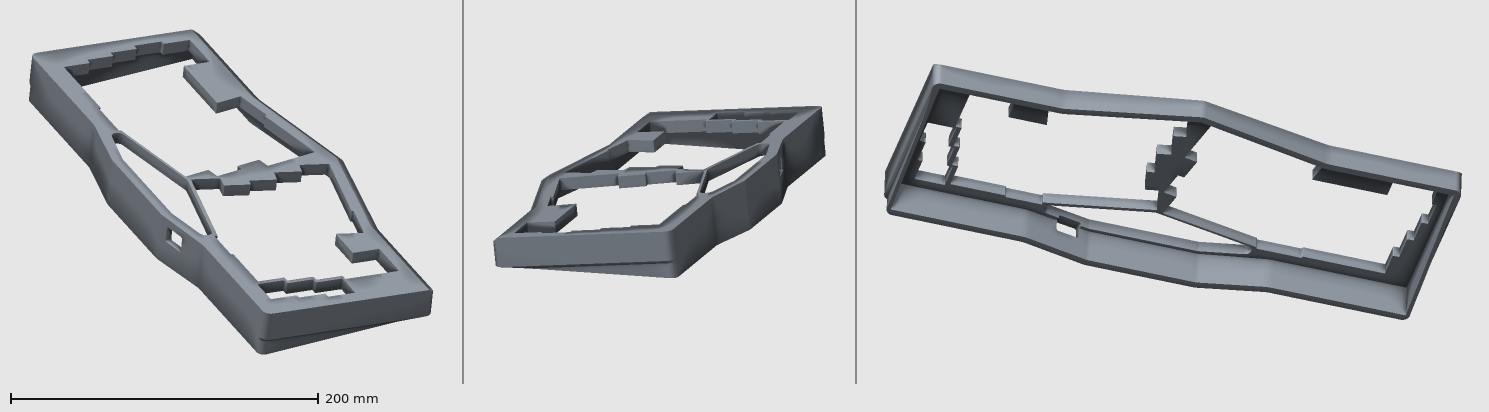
import cadquery as cq
import math


case_width = 358.42
overall_depth = 151.96
rear_height = 32.79
tilt_angle = 6.0
half_angle = 12.0
tilt = math.radians(tilt_angle)
half_slope = math.tan(math.radians(half_angle))
side_x = case_width / 2
mid_x = 1.9
wall_depth = 45.0

bevel_depth = 5.0
bevel_height = 3.0
apex_radius = 7.6
apex_rounding = 0.15

rear_y = (rear_height * math.tan(tilt) - overall_depth / 2) / math.cos(tilt)
rear_side_y = rear_y + 8.9
rear_flat_half = 37.4
rear_left_bend_x = -81.6
rear_right_bend_x = 83.8

front_apex_y = (overall_depth / 2 + bevel_height * math.sin(tilt)) / math.cos(tilt) + apex_rounding
front_left_y = 58.4
front_right_y = 59.3
front_left_bend_x = -87.5
front_right_bend_x = 91.8

corner_radius = 5.0
rear_convex_radius = 15.0
concave_radius = 20.0
rear_left_radius = 25.0

bezel_thickness = 8.0
wall_thickness = 4.7
body_depth = 19.6
foot_inset = 2.0
end_length = 39.0

pitch = 19.05
clearance = 0.45
row_base = -49.45
left_base = -33.9
right_base = -32.15
stagger = 4.3
notch = 2.0
left_start_x = -157.0
right_start_x = 137.6
left_top_x = -166.7
left_shelf_x = -136.6
right_shelf_x = 120.4
left_notch_x = -101.0
right_notch_x = 100.0
opening_radius = 0.6

lens_x = 2.3
lens_flat_y = -65.6
lens_flat_half = 37.2
lens_apex_y = -36.4
lens_tip_radius = 4.5

slot_strip = 3.2
slot_widths = (20.5, 19.4, 19.4)

port_width = 16.5
port_height = 11.0
port_radius = 1.6
port_x = 54.2
port_drop = 11.0


def below(base, row):
    """Opening edge just below the grid line of a key row."""
    return base + row * pitch - clearance


def above(base, row):
    """Opening edge just above the grid line of a key row."""
    return base + row * pitch + clearance


def prism(points, top, depth):
    return cq.Workplane("XY").workplane(offset=top).polyline(points).close().extrude(-depth)


def block(corner, size):
    return cq.Workplane("XY").box(*size, centered=False).translate(corner)


def turned(shape, angle):
    return shape.rotate((0, 0, 0), (0, 0, 1), angle)


def rounded(solid, x, y, radius):
    """Round the upright edge of a prism that stands at (x, y)."""
    reach = 0.5
    tall = 10 * wall_depth
    picker = cq.selectors.BoxSelector((x - reach, y - reach, -tall), (x + reach, y + reach, tall))
    return solid.edges("|Z").edges(picker).fillet(radius)


def front_line(half_width):
    """Front outline from right to left."""
    return [
        (half_width, front_right_y),
        (front_right_bend_x, front_right_y),
        (mid_x, front_apex_y),
        (front_left_bend_x, front_left_y),
        (-half_width, front_left_y),
    ]


def round_front(solid):
    solid = rounded(solid, front_right_bend_x, front_right_y, concave_radius)
    solid = rounded(solid, mid_x, front_apex_y, apex_radius)
    return rounded(solid, front_left_bend_x, front_left_y, concave_radius)


def plan_prism():
    """Upright prism of the case outline with every bend and corner rounded."""
    rear_line = [
        (-side_x, rear_side_y),
        (rear_left_bend_x, rear_side_y),
        (mid_x - rear_flat_half, rear_y),
        (mid_x + rear_flat_half, rear_y),
        (rear_right_bend_x, rear_side_y),
        (side_x, rear_side_y),
    ]
    solid = round_front(prism(front_line(side_x) + rear_line, 0, wall_depth))
    solid = rounded(solid, rear_left_bend_x, rear_side_y, rear_left_radius)
    solid = rounded(solid, rear_right_bend_x, rear_side_y, concave_radius)
    for side, front_y in ((-1, front_left_y), (1, front_right_y)):
        solid = rounded(solid, mid_x + side * rear_flat_half, rear_y, rear_convex_radius)
        solid = rounded(solid, side * side_x, rear_side_y, corner_radius)
        solid = rounded(solid, side * side_x, front_y, corner_radius)
    return solid


def front_bevel_envelope():
    """Oversize solid whose only effect on the case is the bevel along the front top edge."""
    margin = 60.0
    back = [(-side_x - margin, rear_y - margin), (side_x + margin, rear_y - margin)]
    lower = round_front(prism(front_line(side_x + margin) + back, -bevel_height, wall_depth))
    taper = math.degrees(math.atan2(bevel_depth, bevel_height))
    return lower.faces(">Z").wires().toPending().workplane().extrude(bevel_height, taper=taper)


def end_undercut(side, front_y):
    """Material to remove low down at one end, leaving a bevel and an inset foot."""
    margin = 10.0
    left_x = side_x - end_length if side > 0 else -side_x
    depth = front_y - rear_side_y
    bottom = -body_depth - wall_depth
    end = block((left_x, rear_side_y, bottom), (end_length, depth, wall_depth))
    for y in (rear_side_y, front_y):
        end = rounded(end, side * side_x, y, corner_radius)
    inward = cq.Vector(-side * foot_inset, 0, -foot_inset)
    bevel = cq.Workplane(cq.Solid.extrudeLinear(end.faces(">Z").val(), inward))
    foot = end.translate(inward)
    envelope = block(
        (left_x + side * margin, rear_side_y - margin, bottom),
        (end_length, depth + 2 * margin, wall_depth),
    )
    return envelope.cut(bevel).cut(foot)


def outer_body(plan):
    body = plan.intersect(front_bevel_envelope())
    body = body.cut(end_undercut(-1, front_left_y))
    return body.cut(end_undercut(1, front_right_y))


def cavity(plan):
    """Space inside the walls, from the underside of the bezel down."""
    outline = plan.faces(">Z").wires().val()
    inner = outline.offset2D(-wall_thickness)[0]
    space = cq.Solid.extrudeLinear(inner, [], cq.Vector(0, 0, -wall_depth))
    return cq.Workplane(space).translate((0, 0, -bezel_thickness))


def outer_steps(base_x, step):
    """Staircase along the outer ends of the lowest row and the three staggered rows above."""
    points = [(base_x, below(row_base, 0))]
    for row in (1, 2, 3):
        points.append((base_x + (row - 1) * step, below(row_base, row)))
        points.append((base_x + row * step, below(row_base, row)))
    return points


def key_opening(straight, angled, angle):
    """Opening for one half: straight outer columns joined to the turned inner columns."""
    straight_part = prism(straight, 0, bezel_thickness)
    angled_part = turned(prism(angled, 0, bezel_thickness), angle)
    return straight_part.union(angled_part).edges("|Z").fillet(opening_radius)


def left_opening():
    notch_y = row_base - notch
    straight = [(-70.0, notch_y), (left_notch_x, notch_y), (left_notch_x, below(row_base, 0))]
    straight += outer_steps(left_start_x, -stagger)
    straight += [
        (left_start_x - 3 * stagger, above(row_base, 4)),
        (left_top_x, above(row_base, 4)),
        (left_top_x, above(row_base, 5)),
        (left_shelf_x, above(row_base, 5)),
        (left_shelf_x, above(row_base, 4)),
        (-80.0, above(row_base, 4)),
    ]
    angled = [
        (-78.0, 44.0),
        (-77.8, 63.6),
        (-49.5, 63.6),
        (-49.5, 61.7),
        (4.5, 61.7),
        (4.5, below(left_base, 3)),
        (-4.8, below(left_base, 3)),
        (-4.8, above(left_base, 2)),
        (-0.3, above(left_base, 2)),
        (-0.3, below(left_base, 1)),
        (-9.8, below(left_base, 1)),
        (-9.8, below(left_base, 0)),
        (-83.6, below(left_base, 0)),
    ]
    return key_opening(straight, angled, half_angle)


def right_opening():
    notch_y = row_base - notch
    straight = [(75.0, notch_y), (right_notch_x, notch_y), (right_notch_x, below(row_base, 0))]
    straight += outer_steps(right_start_x, stagger)
    straight += [
        (right_start_x + 3 * stagger, above(row_base, 5)),
        (right_shelf_x, above(row_base, 5)),
        (right_shelf_x, above(row_base, 4)),
        (80.0, above(row_base, 4)),
    ]
    angled = [
        (86.4, 44.0),
        (86.4, 65.2),
        (57.5, 65.2),
        (57.5, 63.8),
        (-4.9, 63.8),
        (-4.9, below(right_base, 4)),
        (3.7, below(right_base, 4)),
        (3.7, below(right_base, 3)),
        (13.2, below(right_base, 3)),
        (13.2, below(right_base, 2)),
        (18.4, below(right_base, 2)),
        (18.4, above(right_base, 1)),
        (9.0, above(right_base, 1)),
        (9.0, below(right_base, 0)),
        (84.0, below(right_base, 0)),
    ]
    return key_opening(straight, angled, -half_angle)


def lens_opening():
    """Flat-bottomed lens with rounded tips, between the openings and the rear wall."""
    reach = (lens_apex_y - lens_flat_y + lens_flat_half * half_slope) / (2 * half_slope)
    tip_y = lens_apex_y - reach * half_slope
    points = [
        (lens_x - reach, tip_y),
        (lens_x - lens_flat_half, lens_flat_y),
        (lens_x + lens_flat_half, lens_flat_y),
        (lens_x + reach, tip_y),
        (lens_x, lens_apex_y),
    ]
    lens = prism(points, 0, bezel_thickness)
    for side in (-1, 1):
        lens = rounded(lens, lens_x + side * reach, tip_y, lens_tip_radius)
    return lens


def arrow_slot():
    """Three staggered key places right of the right opening, parted from it by a thin strip."""
    slot = cq.Workplane("XY")
    for row, width in enumerate(slot_widths):
        left_x = right_start_x + slot_strip + row * stagger
        corner = (left_x, below(row_base, row) - notch, -bezel_thickness)
        slot = slot.union(block(corner, (width, pitch + clearance, bezel_thickness)))
    return slot.edges("|Z").fillet(opening_radius)


def cable_port():
    """Rounded window through the right slanted part of the rear wall."""
    port_y = rear_y + (port_x - mid_x - rear_flat_half) * half_slope
    port = cq.Workplane("XZ").rect(port_width, port_height).extrude(2 * wall_thickness, both=True)
    port = turned(port.edges("|Y").fillet(port_radius), half_angle)
    return port.translate((port_x, port_y, -port_drop))


def tilted_onto_desk(case):
    """Tilt the flat case so the rear stands high, and cut it off level at the desk."""
    desk_to_pivot = rear_height + rear_y * math.sin(tilt)
    tilted = case.rotate((0, 0, 0), (1, 0, 0), -tilt_angle).translate((0, 0, desk_to_pivot))
    above_desk = block((-case_width, -case_width, 0), (2 * case_width, 2 * case_width, case_width))
    return tilted.intersect(above_desk)


plan = plan_prism()
case = outer_body(plan).cut(cavity(plan))
for opening in (left_opening(), right_opening(), lens_opening(), arrow_slot(), cable_port()):
    case = case.cut(opening)

result = tilted_onto_desk(case)